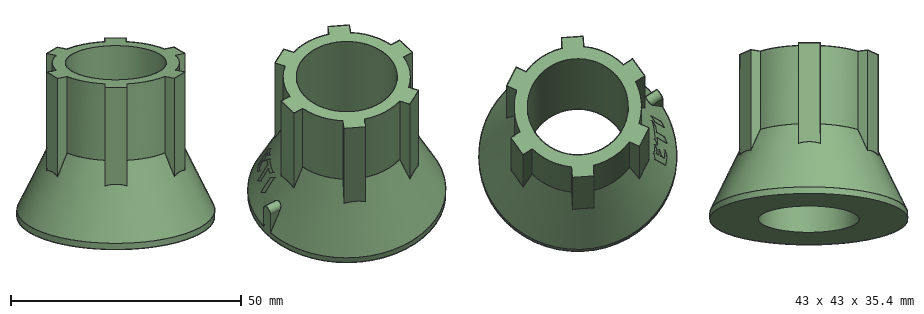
import cadquery as cq
import math

base_radius = 21.5
rim_height = 1.45
flare_top = 17.75
tube_radius = 13.8
total_height = 35.4
bore_radius = 10.95

rib_count = 6
rib_width = 4.75
rib_reach = 16.0
rib_start_angle = 30.0

mark_angle = 150.0
mark_width = 2.5
mark_height = 8.25

letter_angle = 120.0
inlay_depth = 0.85
letter_bottom = 5.85
letter_top = 11.5
stroke = 1.08
slant = 1.05
e_left = -5.15
e_right = -2.0
e_stem_right = -3.83
e_mid_right = -2.6
e_mid_bottom = 8.35
t_left = -1.9
t_right = 3.45
t_stem_left = -0.2
t_stem_right = 1.05
i_left = 3.5
i_right = 4.65
i_top = 11.1


def radial_plane(angle):
    """Upright plane through the axis, facing outward at the given angle."""
    a = math.radians(angle)
    return cq.Plane(
        origin=(0, 0, 0),
        xDir=(-math.sin(a), math.cos(a), 0),
        normal=(math.cos(a), math.sin(a), 0),
    )


def make_flare(inset):
    """Solid cone of the flare, with its radius reduced by the inset."""
    return (
        cq.Workplane("XZ")
        .moveTo(0, rim_height)
        .lineTo(base_radius - inset, rim_height)
        .lineTo(tube_radius - inset, flare_top)
        .lineTo(0, flare_top)
        .close()
        .revolve(360, (0, 0), (0, 1))
    )


def make_ribs():
    """Equally spaced ribs that run down into the flare."""
    ribs = cq.Workplane("XY")
    rib_length = rib_reach - bore_radius
    for k in range(rib_count):
        rib = (
            cq.Workplane("XY", origin=(0, 0, rim_height))
            .center((bore_radius + rib_reach) / 2, 0)
            .rect(rib_length, rib_width)
            .extrude(total_height - rim_height)
            .rotate((0, 0, 0), (0, 0, 1), rib_start_angle + k * 360 / rib_count)
        )
        ribs = ribs.add(rib)
    return ribs.combine()


def make_index_mark():
    """Round-topped radial bar, trimmed to the rim diameter."""
    half = mark_width / 2
    shoulder = mark_height - half
    bar = (
        cq.Workplane(radial_plane(mark_angle))
        .workplane(offset=tube_radius)
        .moveTo(-half, 0)
        .lineTo(half, 0)
        .lineTo(half, shoulder)
        .threePointArc((0, mark_height), (-half, shoulder))
        .close()
        .extrude(base_radius)
    )
    rim_cylinder = cq.Workplane("XY").circle(base_radius).extrude(total_height)
    return bar.intersect(rim_cylinder)


def make_sleeve():
    """Rim, flare and tube with ribs and index mark, bored through."""
    rim = cq.Workplane("XY").circle(base_radius).extrude(rim_height)
    tube = cq.Workplane("XY").circle(tube_radius).extrude(total_height)
    body = rim.union(make_flare(0)).union(tube)
    body = body.union(make_ribs()).union(make_index_mark())
    bore = cq.Workplane("XY").circle(bore_radius).extrude(total_height)
    return body.cut(bore)


def make_letter(outline):
    """Inlay whose outline is cut straight out from the axis through the flare skin."""
    prism = cq.Workplane(radial_plane(letter_angle)).polyline(outline).close().extrude(base_radius)
    skin = make_flare(0).cut(make_flare(inlay_depth))
    return prism.intersect(skin)


letter_e = [
    (e_left, letter_bottom),
    (e_right - slant, letter_bottom),
    (e_right, letter_bottom + stroke),
    (e_stem_right, letter_bottom + stroke),
    (e_stem_right, e_mid_bottom),
    (e_mid_right - slant, e_mid_bottom),
    (e_mid_right, e_mid_bottom + stroke),
    (e_stem_right, e_mid_bottom + stroke),
    (e_stem_right, letter_top - stroke),
    (e_right - slant, letter_top - stroke),
    (e_right, letter_top),
    (e_left + slant, letter_top),
    (e_left, letter_top - slant),
]
letter_t = [
    (t_left, letter_top - stroke),
    (t_stem_left, letter_top - stroke),
    (t_stem_left, letter_bottom),
    (t_stem_right, letter_bottom + slant),
    (t_stem_right, letter_top - stroke),
    (t_right - slant, letter_top - stroke),
    (t_right, letter_top),
    (t_left + slant, letter_top),
]
letter_i = [
    (i_left, letter_bottom),
    (i_right, letter_bottom + slant),
    (i_right, i_top),
    (i_left, i_top - slant),
]

letters = [make_letter(outline) for outline in (letter_e, letter_t, letter_i)]

sleeve = make_sleeve()
for letter in letters:
    sleeve = sleeve.cut(letter)

result = cq.Compound.makeCompound(
    [sleeve.solids().val(), *[letter.solids().val() for letter in letters]]
)